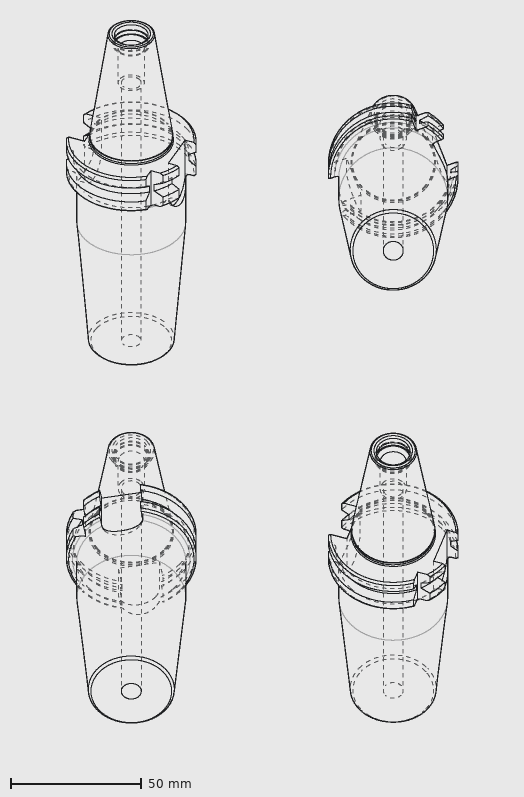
import cadquery as cq
import math


total_length = 147.8
gauge_radius = 15.8
shank_length = 47.3
taper_slope = 7 / 24 / 2
shank_tip_chamfer = 0.5
undercut_top = 98.6
undercut_radius = 15.8
undercut_fillet = 0.5

flange_top = 96.8
flange_height = 16.1
flange_radius = 25.0
flange_chamfer = 0.9
groove_centre = 89.0
groove_mouth = 6.7
groove_floor = 3.0
groove_radius = 22.2

body_radius = 21.0
body_fillet = 1.6
nose_start = 57.2
nose_radius = 16.5
nose_chamfer = 1.0

mouth_radius = 7.4
mouth_depth = 0.6
pilot_radius = 6.5
pilot_depth = 3.3
relief_radius = 7.0
relief_depth = 5.3
cone_depth = 7.0
seat_radius = 5.0
seat_depth = 23.6
bore_radius = 3.8

slot_width = 16.1
left_slot_floor = 16.1
right_slot_floor = 19.0
notch_x = 15.0
notch_y = 15.1

flange_bottom = flange_top - flange_height
shoulder = flange_bottom - body_fillet
gauge_plane = total_length - shank_length
past_flange = 2 * flange_radius


def taper_radius(z):
    return gauge_radius - taper_slope * (z - gauge_plane)


def make_turned_body():
    tip_chamfer_base = total_length - shank_tip_chamfer
    fillet_sag = body_fillet * (1 - math.sqrt(0.5))
    return (
        cq.Workplane("YZ")
        .moveTo(0, 0)
        .lineTo(nose_radius - nose_chamfer, 0)
        .lineTo(nose_radius, nose_chamfer)
        .lineTo(body_radius, nose_start)
        .lineTo(body_radius, shoulder)
        .threePointArc(
            (body_radius + fillet_sag, flange_bottom - fillet_sag),
            (body_radius + body_fillet, flange_bottom),
        )
        .lineTo(flange_radius - flange_chamfer, flange_bottom)
        .lineTo(flange_radius, flange_bottom + flange_chamfer)
        .lineTo(flange_radius, groove_centre - groove_mouth / 2)
        .lineTo(groove_radius, groove_centre - groove_floor / 2)
        .lineTo(groove_radius, groove_centre + groove_floor / 2)
        .lineTo(flange_radius, groove_centre + groove_mouth / 2)
        .lineTo(flange_radius, flange_top - flange_chamfer)
        .lineTo(flange_radius - flange_chamfer, flange_top)
        .lineTo(undercut_radius + undercut_fillet, flange_top)
        .lineTo(undercut_radius, flange_top + undercut_fillet)
        .lineTo(undercut_radius, undercut_top)
        .lineTo(taper_radius(undercut_top), undercut_top)
        .lineTo(taper_radius(tip_chamfer_base), tip_chamfer_base)
        .lineTo(taper_radius(total_length) - shank_tip_chamfer, total_length)
        .lineTo(0, total_length)
        .close()
        .revolve(360, (0, 0, 0), (0, 1, 0))
    )


def make_bore():
    pilot_bottom = total_length - pilot_depth
    relief_bottom = total_length - relief_depth
    seat_bottom = total_length - seat_depth
    return (
        cq.Workplane("YZ")
        .moveTo(0, 0)
        .lineTo(bore_radius, 0)
        .lineTo(bore_radius, seat_bottom)
        .lineTo(seat_radius, seat_bottom)
        .lineTo(seat_radius, total_length - cone_depth)
        .lineTo(pilot_radius, relief_bottom)
        .lineTo(relief_radius, relief_bottom)
        .lineTo(relief_radius, pilot_bottom)
        .lineTo(pilot_radius, pilot_bottom)
        .lineTo(pilot_radius, total_length - mouth_depth)
        .lineTo(mouth_radius, total_length)
        .lineTo(0, total_length)
        .close()
        .revolve(360, (0, 0, 0), (0, 1, 0))
    )


def make_drive_slot(side, floor):
    """Round-ended drive slot on the +X (side=1) or -X (side=-1) flank."""
    half = slot_width / 2
    return (
        cq.Workplane("YZ", origin=(side * floor, 0, 0))
        .moveTo(-half, flange_top)
        .lineTo(-half, flange_bottom)
        .threePointArc((0, flange_bottom - half), (half, flange_bottom))
        .lineTo(half, flange_top)
        .close()
        .extrude(side * past_flange)
    )


def make_orientation_notch():
    return (
        cq.Workplane("XY")
        .box(past_flange, past_flange, flange_top - shoulder, centered=False)
        .translate((notch_x, -notch_y - past_flange, shoulder))
    )


result = (
    make_turned_body()
    .cut(make_bore())
    .cut(make_drive_slot(-1, left_slot_floor))
    .cut(make_drive_slot(1, right_slot_floor))
    .cut(make_orientation_notch())
)